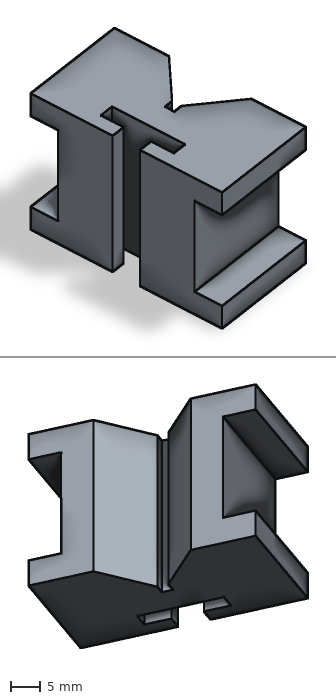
import cadquery as cq

width = 42.0
depth = 22.6
height = 30.0

vee_mouth_width = 18.0
vee_depth = 9.0
relief_width = 2.0
relief_bottom_depth = 10.9

neck_width = 6.0
lip_thickness = 3.0
tee_width = 16.0
tee_bottom_depth = 6.0

channel_depth = 6.0
flange_thickness = 5.0

front = -depth / 2
back = depth / 2


def symmetric_prism(half_outline):
    """Mirror an outline about X = 0 and extrude it through the full height."""
    mirrored = [(-x, y) for x, y in reversed(half_outline)]
    return (
        cq.Workplane("XY")
        .workplane(offset=-height / 2)
        .polyline(half_outline + mirrored)
        .close()
        .extrude(height)
    )


def vee_groove():
    return symmetric_prism([
        (vee_mouth_width / 2, back),
        (relief_width / 2, back - vee_depth),
        (relief_width / 2, back - relief_bottom_depth),
    ])


def tee_slot():
    return symmetric_prism([
        (neck_width / 2, front),
        (neck_width / 2, front + lip_thickness),
        (tee_width / 2, front + lip_thickness),
        (tee_width / 2, front + tee_bottom_depth),
    ])


def side_channel(side):
    """Channel along Y in the +X (side = 1) or -X (side = -1) face."""
    center_x = side * (width - channel_depth) / 2
    channel_height = height - 2 * flange_thickness
    return cq.Workplane("XY").box(channel_depth, depth, channel_height).translate((center_x, 0, 0))


result = cq.Workplane("XY").box(width, depth, height)
result = result.cut(vee_groove())
result = result.cut(tee_slot())
for side in (-1, 1):
    result = result.cut(side_channel(side))